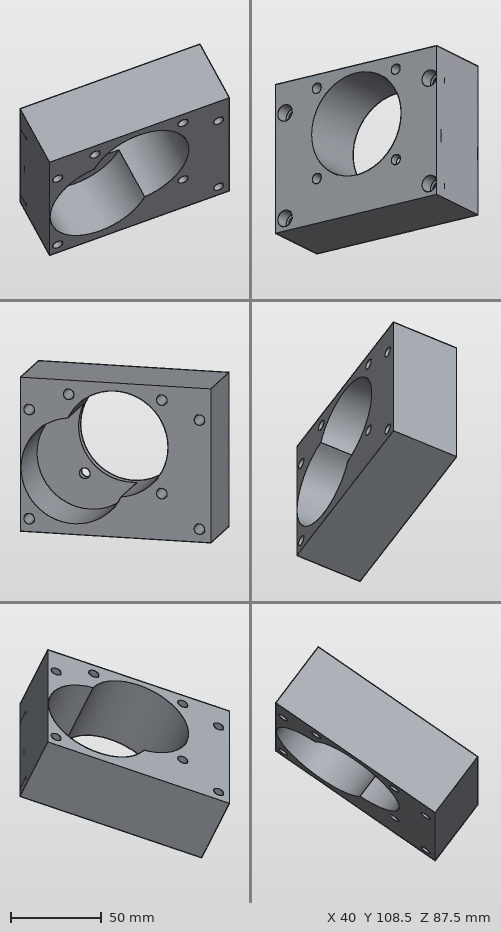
import cadquery as cq

depth, width, height = 40.0, 108.5, 87.5

bore_diameter = 60.0
bore_y, bore_z = -0.2, 52.8

screw_diameter = 6.0
bore_screw_pitch = 53.1

counterbore_diameter = 9.5
counterbore_depth = 8.0
side_screw_pitch_y, side_screw_pitch_z = 97.0, 62.0
side_screw_center_y, side_screw_center_z = -0.8, 38.4

front_wall = 5.0
pocket_y, pocket_z = -23.9, 36.1


def cylinder(diameter, y, z, start=0.0, end=depth):
    """Solid cylinder along X between two depths."""
    center = cq.Workplane("YZ", origin=(start, y, z))
    return center.circle(diameter / 2).extrude(end - start)


def corners(center_y, center_z, pitch_y, pitch_z):
    """Corner positions of a rectangular hole pattern."""
    return [
        (center_y + side_y * pitch_y / 2, center_z + side_z * pitch_z / 2)
        for side_y in (-1, 1)
        for side_z in (-1, 1)
    ]


result = cq.Workplane("XY").box(depth, width, height, centered=(False, True, False))

result = result.cut(cylinder(bore_diameter, bore_y, bore_z))
result = result.cut(cylinder(bore_diameter, pocket_y, pocket_z, start=front_wall))

for y, z in corners(bore_y, bore_z, bore_screw_pitch, bore_screw_pitch):
    result = result.cut(cylinder(screw_diameter, y, z))

for y, z in corners(side_screw_center_y, side_screw_center_z, side_screw_pitch_y, side_screw_pitch_z):
    result = result.cut(cylinder(screw_diameter, y, z))
    result = result.cut(cylinder(counterbore_diameter, y, z, end=counterbore_depth))